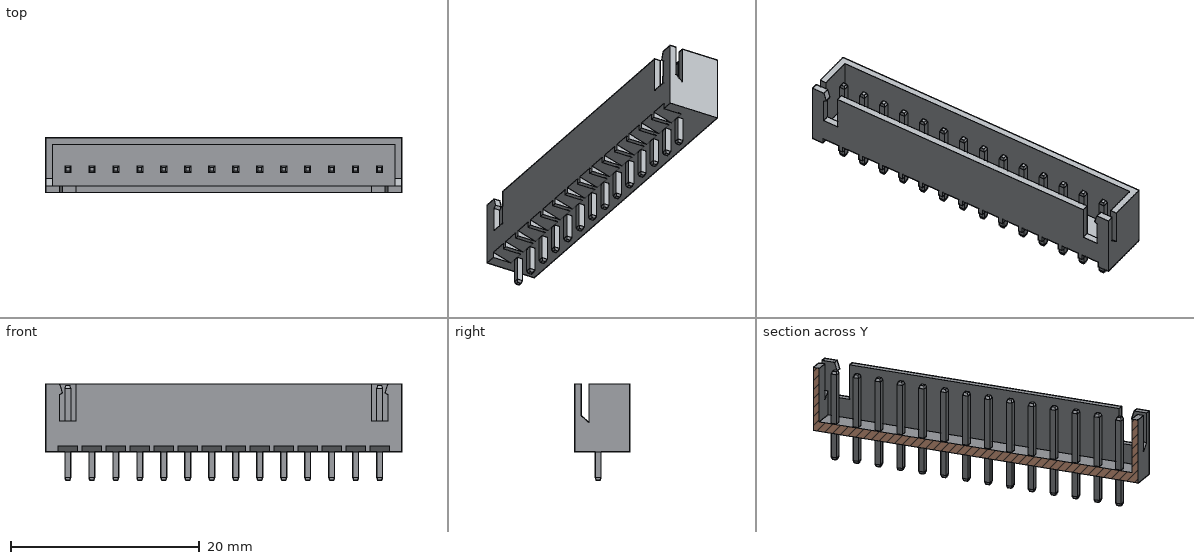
import cadquery as cq


length = 37.7
depth = 5.85
total_height = 10.2
pin_to_front = 2.5
pin_below = 3.0
shroud_height = total_height - pin_below
wall = 0.7
floor_height = 1.13
front = -pin_to_front
back = front + depth
inner_front = front + wall

pin_count = 14
row_length = 33.0
pitch = row_length / (pin_count - 1)
pin_width = 0.65
pin_below_rim = 0.2
pin_top = shroud_height - pin_below_rim
tip_height = 0.3
tip_inset = 0.1

window_end_gap = 1.45
window_width = 1.77
window_depth = 3.92
nub_top_reach = 0.05
nub_reach = 0.35
nub_peak_depth = 0.95
nub_depth = 1.15

slot_width = 0.8
slot_front_depth = 3.35
slot_back_depth = 4.07

relief_width = 2.05
relief_height = 0.65
relief_depth = 2.15

pin_positions = [i * pitch - row_length / 2 for i in range(pin_count)]


def box(x_min, x_max, y_min, y_max, z_min, z_max):
    """Box given by its limits along each axis."""
    size = (x_max - x_min, y_max - y_min, z_max - z_min)
    return cq.Workplane("XY").box(*size, centered=False).translate((x_min, y_min, z_min))


def extrude_along_x(points, x_min, x_max):
    """Prism with a (Y, Z) outline."""
    return cq.Workplane("YZ", origin=(x_min, 0, 0)).polyline(points).close().extrude(x_max - x_min)


def make_shroud():
    outer = box(-length / 2, length / 2, front, back, 0, shroud_height)
    cavity = box(
        wall - length / 2, length / 2 - wall,
        inner_front, back - wall,
        floor_height, shroud_height,
    )
    return outer.cut(cavity)


def make_latch_window():
    """Window at the -X end; its outer edge keeps a pointed latch nub."""
    edge = window_end_gap - length / 2
    window_bottom = shroud_height - window_depth
    outline = [
        (edge, window_bottom),
        (edge, shroud_height - nub_depth),
        (edge + nub_reach, shroud_height - nub_peak_depth),
        (edge + nub_top_reach, shroud_height),
        (edge + window_width, shroud_height),
        (edge + window_width, window_bottom),
    ]
    return cq.Workplane("XZ", origin=(0, front, 0)).polyline(outline).close().extrude(-wall)


def make_end_slots():
    """Slot through both end walls, just behind the front wall."""
    outline = [
        (inner_front, shroud_height),
        (inner_front, shroud_height - slot_front_depth),
        (inner_front + slot_width, shroud_height - slot_back_depth),
        (inner_front + slot_width, shroud_height),
    ]
    left = extrude_along_x(outline, -length / 2, wall - length / 2)
    return left.union(left.mirror("YZ"))


def make_relief(x):
    outline = [(front, 0), (front, relief_height), (front + relief_depth, 0)]
    return extrude_along_x(outline, x - relief_width / 2, x + relief_width / 2)


def make_tip(x, z, direction):
    """Tapered pin end that starts at z and points up (1) or down (-1)."""
    end_width = pin_width - 2 * tip_inset
    return (
        cq.Workplane("XY", origin=(x, 0, z))
        .rect(pin_width, pin_width)
        .workplane(offset=direction * tip_height)
        .rect(end_width, end_width)
        .loft(ruled=True)
    )


def make_pin(x):
    half = pin_width / 2
    shank_bottom = tip_height - pin_below
    shank_top = pin_top - tip_height
    shank = box(x - half, x + half, -half, half, shank_bottom, shank_top)
    top_tip = make_tip(x, shank_top, 1)
    bottom_tip = make_tip(x, shank_bottom, -1)
    return shank.union(top_tip).union(bottom_tip)


window = make_latch_window()
shroud = make_shroud().cut(window).cut(window.mirror("YZ")).cut(make_end_slots())
for pin_x in pin_positions:
    shroud = shroud.cut(make_relief(pin_x))

result = shroud
for pin_x in pin_positions:
    result = result.union(make_pin(pin_x))